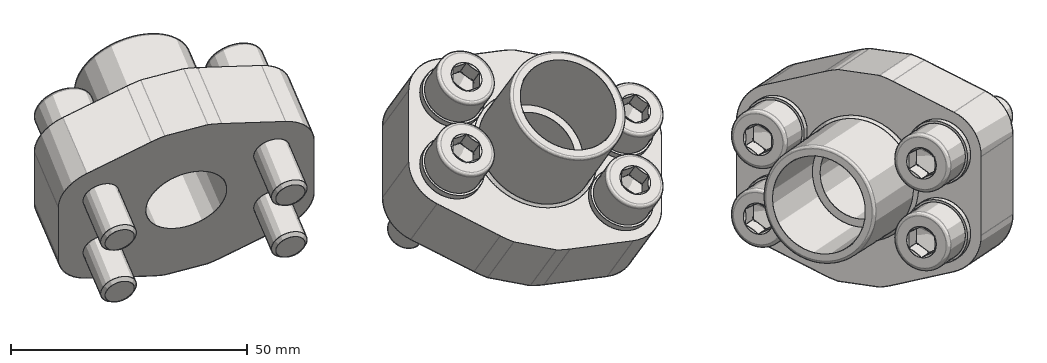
import cadquery as cq
import math


plate_thickness = 15.95
plate_width = 57.0
plate_height = 47.0
plate_round_radius = 24.0

bolt_pitch_y = 38.0
bolt_pitch_z = 17.5
bolt_y = bolt_pitch_y / 2
bolt_z = bolt_pitch_z / 2

pipe_length = 20.0
pipe_diameter = 26.0
pipe_base_height = 26.7
pipe_socket_diameter = 21.6
bore_diameter = 18.0
pipe_rim_round = 0.6
pipe_root_length = 0.55
pipe_root_diameter = 27.8
flare_share = 0.4

shank_diameter = 8.0
shank_overhang = 12.4
shank_chamfer = 0.75
head_diameter = 13.0
head_height = 8.0
head_round = 0.75
washer_diameter = 14.0
washer_thickness = 1.55
hex_across_flats = 6.0
hex_depth = 4.0
drill_point_angle = 120.0


def cylinder(diameter, start_x, end_x, y=0.0, z=0.0):
    """Solid cylinder along X between two X positions."""
    disc = cq.Workplane("YZ", origin=(start_x, 0, 0)).center(y, z).circle(diameter / 2)
    return disc.extrude(end_x - start_x)


def cone(diameter, height, base_x, y, z):
    """Solid cone along X, pointing toward +X."""
    return cq.Workplane(
        cq.Solid.makeCone(diameter / 2, 0, height, cq.Vector(base_x, y, z), cq.Vector(1, 0, 0))
    )


def make_plate():
    """Plate wrapped around a central disc and four corner discs, cut flat at top and bottom."""
    corner_radius = plate_width / 2 - bolt_y
    corner_distance = math.hypot(bolt_y, bolt_z)

    normal = math.atan2(bolt_z, bolt_y)
    normal += math.acos((plate_round_radius - corner_radius) / corner_distance)
    normal_y = math.cos(normal)
    normal_z = math.sin(normal)

    disc_tangent = (plate_round_radius * normal_y, plate_round_radius * normal_z)
    corner_tangent = (bolt_y + corner_radius * normal_y, bolt_z + corner_radius * normal_z)
    corner_middle = (
        bolt_y + corner_radius * math.cos(normal / 2),
        bolt_z + corner_radius * math.sin(normal / 2),
    )

    half_height = plate_height / 2
    flat_end = (math.sqrt(plate_round_radius**2 - half_height**2), half_height)
    disc_angle = (normal + math.atan2(half_height, flat_end[0])) / 2
    disc_middle = (
        plate_round_radius * math.cos(disc_angle),
        plate_round_radius * math.sin(disc_angle),
    )

    quarter = (
        cq.Workplane("YZ")
        .lineTo(plate_width / 2, 0)
        .lineTo(plate_width / 2, bolt_z)
        .threePointArc(corner_middle, corner_tangent)
        .lineTo(*disc_tangent)
        .threePointArc(disc_middle, flat_end)
        .lineTo(0, half_height)
        .close()
        .extrude(plate_thickness)
    )
    half = quarter.union(quarter.mirror("XZ"))
    return half.union(half.mirror("XY")).clean()


def loft_sections(sections):
    """Solid lofted through upright ellipses, each given as X position, width (Y) and height (Z)."""
    wires = []
    for x, width, height in sections:
        outline = cq.Workplane("YZ", origin=(x, 0, 0)).ellipse(height / 2, width / 2, rotation_angle=90)
        wires.append(outline.wires().val())
    return cq.Workplane(cq.Solid.makeLoft(wires))


def make_pipe_stub():
    """Pipe stub, round at the rim, slightly taller at its base, with a concave flare onto the plate."""
    stub = loft_sections(
        [
            (-pipe_length, pipe_diameter, pipe_diameter),
            (-pipe_root_length, pipe_diameter, pipe_base_height),
        ]
    )
    stub = stub.faces("<X").edges().fillet(pipe_rim_round)

    root = loft_sections(
        [
            (-pipe_root_length, pipe_diameter, pipe_base_height),
            (
                -pipe_root_length * flare_share,
                pipe_diameter + flare_share * (pipe_root_diameter - pipe_diameter),
                pipe_base_height + flare_share * (pipe_root_diameter - pipe_base_height),
            ),
            (0, pipe_root_diameter, pipe_root_diameter),
        ]
    )
    return stub.union(root)


def make_bolt(y, z):
    """Socket head bolt with its washer."""
    head_front_x = -washer_thickness - head_height
    shank_end_x = plate_thickness + shank_overhang
    hex_across_corners = hex_across_flats / math.cos(math.pi / 6)
    point_height = hex_across_corners / 2 / math.tan(math.radians(drill_point_angle / 2))

    shank = cylinder(shank_diameter, -washer_thickness, shank_end_x, y, z)
    shank = shank.faces(">X").edges().chamfer(shank_chamfer)
    washer = cylinder(washer_diameter, -washer_thickness, 0, y, z)
    head = cylinder(head_diameter, head_front_x, -washer_thickness, y, z)
    head = head.faces("<X").edges().fillet(head_round)

    hex_socket = (
        cq.Workplane("YZ", origin=(head_front_x, y, z))
        .transformed(rotate=(0, 0, 90))
        .polygon(6, hex_across_corners)
        .extrude(hex_depth)
    )
    drill_point = cone(hex_across_corners, point_height, head_front_x + hex_depth, y, z)
    countersink = cone(hex_across_corners, point_height, head_front_x, y, z)
    return head.union(washer).union(shank).cut(hex_socket).cut(drill_point).cut(countersink)


result = make_plate().union(make_pipe_stub())

for side_y in (-1, 1):
    for side_z in (-1, 1):
        result = result.union(make_bolt(side_y * bolt_y, side_z * bolt_z))

result = result.cut(cylinder(pipe_socket_diameter, -pipe_length, 0))
result = result.cut(cylinder(bore_diameter, 0, plate_thickness))